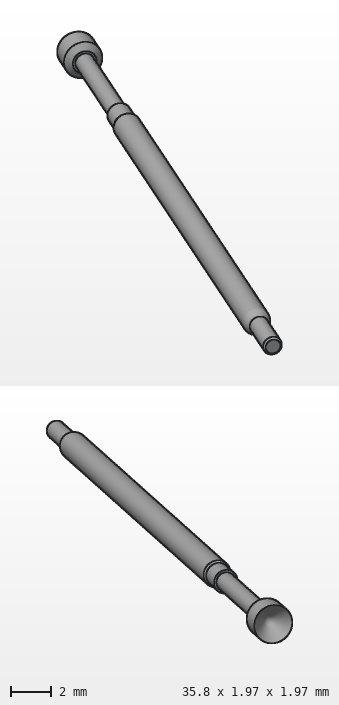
import cadquery as cq

total_length = 35.8
head_length = 1.25
head_taper_end = 1.55
collar_start = 7.8
barrel_start = 9.1
barrel_body_end = 32.75
barrel_end = 33.25

head_diameter = 1.97
head_taper_diameter = 1.2
neck_diameter = 0.95
collar_diameter = 1.2
barrel_diameter = 1.4
tail_diameter = 0.95

barrel_chamfer = 0.15
tail_chamfer = 0.1
cup_depth = head_diameter / 2

head_radius = head_diameter / 2
neck_radius = neck_diameter / 2
collar_radius = collar_diameter / 2
barrel_radius = barrel_diameter / 2
tail_radius = tail_diameter / 2

half_section = (
    cq.Workplane("XY")
    .moveTo(cup_depth, 0)
    .lineTo(0, head_radius)
    .lineTo(head_length, head_radius)
    .lineTo(head_taper_end, head_taper_diameter / 2)
    .lineTo(head_taper_end, neck_radius)
    .lineTo(collar_start, neck_radius)
    .lineTo(collar_start, collar_radius)
    .lineTo(barrel_start, collar_radius)
    .lineTo(barrel_start + barrel_chamfer, barrel_radius)
    .lineTo(barrel_body_end, barrel_radius)
    .tangentArcPoint((barrel_end, tail_radius), relative=False)
    .lineTo(total_length - tail_chamfer, tail_radius)
    .lineTo(total_length, tail_radius - tail_chamfer)
    .lineTo(total_length, 0)
    .close()
)

result = half_section.revolve(360, (0, 0), (1, 0))